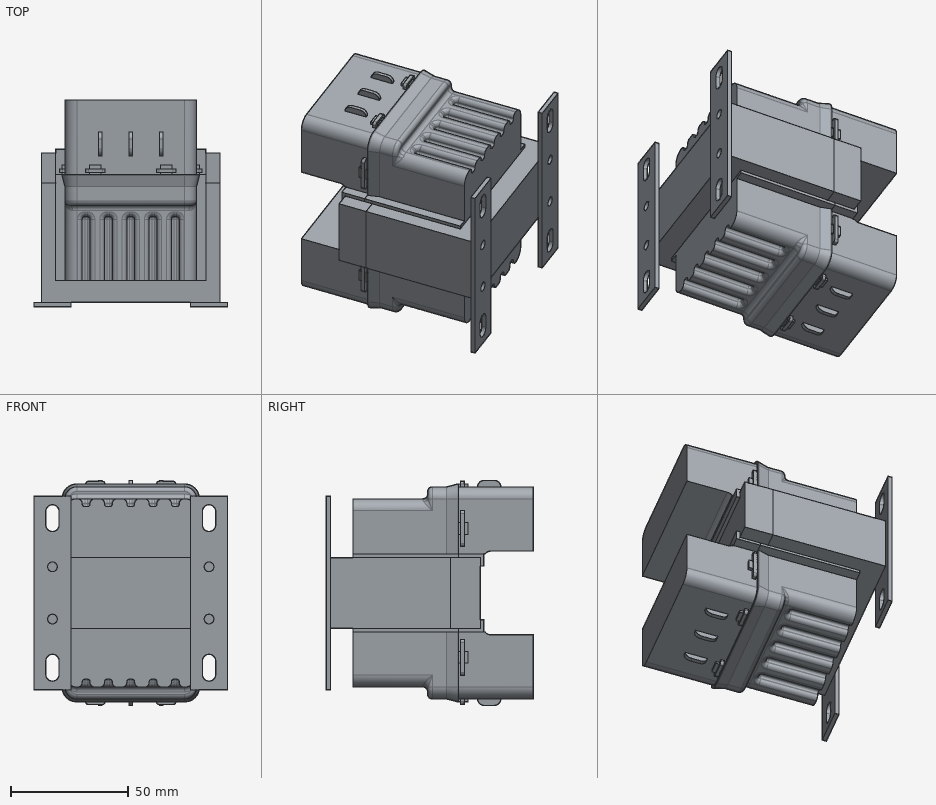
import cadquery as cq
import math


CORE_WIDTH = 76.2
CORE_STACK = 30.1
CORE_DEPTH = 63.7
YOKE_DEPTH = 12.8

BAR_SPAN = 82.6
BAR_WIDTH = 15.8
BAR_LENGTH = 82.6
BAR_THICKNESS = 1.9
SLOT_LENGTH = 11.3
SLOT_WIDTH = 5.6
SLOT_SPACING = 63.7
HOLE_DIAMETER = 4.1
HOLE_SPACING = 22.3

FLANGE_WIDTH = 64.1
FLANGE_THICKNESS = 1.5
HOOK_REACH = 5.2

SHELL_WIDTH = 56.1
SHELL_HEIGHT = 45.2
CORNER_RADIUS = 5.1

COVER_FRONT = 9.4
COVER_BACK = 54.5
COVER_HEIGHT = 40.1
SHOULDER_FRONT = 41.3
SHOULDER_ROUND = 2.0
LIP_LAND = 0.4
LIP_TAPER_LENGTH = 4.8
LIP_OVERHANG = 1.2

GROOVE_COUNT = 5
GROOVE_PITCH = 9.5
GROOVE_WIDTH = 3.4
GROOVE_DEPTH = 3.4
GROOVE_END = 36.6
GROOVE_INNER_ROUND = 1.2
GROOVE_EDGE_ROUND = 2.0

BLOCK_BACK = 86.3
BLOCK_UNDERSIDE = 17.8
UNDERSIDE_ROUND = 2.8

FIN_PITCH = 13.1
FIN_COUNT = 3
FIN_WIDTH = 1.5
FIN_FRONT = 62.5
FIN_LENGTH = 10.1
FIN_TIP = 48.0
FIN_ROUND = 3.0

TOP_LATCH_OFFSET = 15.1
SIDE_LATCH_HEIGHT = 27.5
TOP_LATCH_LENGTH = 8.4
SIDE_LATCH_LENGTH = 15.4
LATCH_FRONT = 55.3
LATCH_THICKNESS = 1.6
LATCH_RISE = 2.4
LATCH_ROUND = 1.2
TONGUE_WIDTH = 5.0
TONGUE_BACK = 58.6

CORE_TOP = CORE_STACK / 2
FLANGE_TOP = CORE_TOP + FLANGE_THICKNESS
HOOK_BACK = CORE_DEPTH + FLANGE_THICKNESS
YOKE_FRONT = CORE_DEPTH - YOKE_DEPTH


def block(width, y_front, y_back, z_bottom, z_top, x_centre=0.0):
    """Box centred on x_centre, between the given Y and Z limits."""
    return (
        cq.Workplane("XY")
        .box(width, y_back - y_front, z_top - z_bottom, centered=(True, False, False))
        .translate((x_centre, y_front, z_bottom))
    )


def shell(width, height, radius, y_front, y_back, taper=0.0):
    """Prism with rounded top corners, standing on the flange; it tapers towards the front."""
    full = (
        cq.Workplane("XZ", origin=(0, y_back, 0))
        .sketch()
        .rect(width, 2 * height)
        .vertices()
        .fillet(radius)
        .finalize()
        .extrude(y_back - y_front, taper=taper)
    )
    return full.intersect(block(2 * width, y_front, y_back, FLANGE_TOP, 2 * height))


def row_positions(count, pitch):
    """X positions of a row of features centred on X = 0."""
    return [(index - (count - 1) / 2) * pitch for index in range(count)]


def edges_near(x_min, x_max, y_min, y_max, z):
    """Selector for the edges whose middle lies in the given range at height z."""
    margin = 0.1
    return cq.selectors.BoxSelector(
        (x_min - margin, y_min - margin, z - margin),
        (x_max + margin, y_max + margin, z + margin),
    )



def core_body():
    return block(CORE_WIDTH, 0, YOKE_FRONT, -CORE_TOP, CORE_TOP)


def core_yoke():
    return block(CORE_WIDTH, YOKE_FRONT, CORE_DEPTH, -CORE_TOP, CORE_TOP)


def mounting_bar(x_centre):
    return (
        cq.Workplane("XZ", origin=(x_centre, 0, 0))
        .rect(BAR_WIDTH, BAR_LENGTH)
        .extrude(BAR_THICKNESS)
        .faces("<Y")
        .workplane(centerOption="CenterOfBoundBox")
        .pushPoints([(0, -SLOT_SPACING / 2), (0, SLOT_SPACING / 2)])
        .slot2D(SLOT_LENGTH, SLOT_WIDTH, 90)
        .cutThruAll()
        .pushPoints([(0, -HOLE_SPACING / 2), (0, HOLE_SPACING / 2)])
        .circle(HOLE_DIAMETER / 2)
        .cutThruAll()
    )



def groove_cutter(x_centre):
    cutter = block(
        GROOVE_WIDTH, COVER_FRONT - GROOVE_WIDTH, GROOVE_END,
        COVER_HEIGHT - GROOVE_DEPTH, COVER_HEIGHT + GROOVE_DEPTH, x_centre,
    )
    rounded_end = cutter.edges("|Z and >Y").fillet(GROOVE_INNER_ROUND)
    return rounded_end.faces("<Z").edges().fillet(GROOVE_INNER_ROUND)


def grooved_front():
    """Low front part of the cover, with its cooling grooves and their rounded rims."""
    front = shell(SHELL_WIDTH, COVER_HEIGHT, CORNER_RADIUS, COVER_FRONT, COVER_BACK)
    for x_centre in row_positions(GROOVE_COUNT, GROOVE_PITCH):
        front = front.cut(groove_cutter(x_centre))
        rim = edges_near(
            x_centre - GROOVE_WIDTH / 2, x_centre + GROOVE_WIDTH / 2,
            COVER_FRONT, GROOVE_END, COVER_HEIGHT,
        )
        front = front.edges(rim).fillet(GROOVE_EDGE_ROUND)
    return front


def cover_shoulder():
    """Full-height part of the cover, with its front edge rounded."""
    shoulder = shell(SHELL_WIDTH, SHELL_HEIGHT, CORNER_RADIUS, SHOULDER_FRONT, COVER_BACK)
    return shoulder.faces("<Y").edges("not <Z").fillet(SHOULDER_ROUND)


def cover_lip():
    """Flared rim at the joint: a straight land, then a taper down to the outline of the shell."""
    lip_outline = (SHELL_WIDTH + 2 * LIP_OVERHANG, SHELL_HEIGHT + LIP_OVERHANG, CORNER_RADIUS + LIP_OVERHANG)
    land_front = COVER_BACK - LIP_LAND
    taper_angle = math.degrees(math.atan2(LIP_OVERHANG, LIP_TAPER_LENGTH))
    land = shell(*lip_outline, land_front, COVER_BACK)
    return land.union(shell(*lip_outline, land_front - LIP_TAPER_LENGTH, land_front, taper_angle))


def coil_cover():
    flange = block(FLANGE_WIDTH, COVER_FRONT, COVER_BACK, CORE_TOP, FLANGE_TOP)
    cover = grooved_front().union(cover_shoulder())
    half_width = SHELL_WIDTH / 2
    step = edges_near(-half_width, half_width, SHOULDER_FRONT, SHOULDER_FRONT, COVER_HEIGHT)
    cover = cover.edges(step).fillet(SHOULDER_ROUND)
    return cover.union(cover_lip()).union(flange)



def fin(x_centre):
    plate = block(FIN_WIDTH, FIN_FRONT, FIN_FRONT + FIN_LENGTH, BLOCK_UNDERSIDE, FIN_TIP, x_centre)
    return plate.faces(">Z").edges("|X").fillet(FIN_ROUND)


def latch(length):
    """Cross plate on a tongue, rising in +Z from Z = 0 and centred on X = 0."""
    root = -LIP_OVERHANG
    plate = block(length, LATCH_FRONT, LATCH_FRONT + LATCH_THICKNESS, root, LATCH_RISE)
    plate = plate.faces(">Z").edges("|Y").fillet(LATCH_ROUND)
    return plate.union(block(TONGUE_WIDTH, COVER_BACK, TONGUE_BACK, root, LIP_OVERHANG))


def terminal_block():
    body = shell(SHELL_WIDTH, SHELL_HEIGHT, CORNER_RADIUS, COVER_BACK, BLOCK_BACK)

    clearance = block(2 * SHELL_WIDTH, HOOK_BACK, 2 * BLOCK_BACK, 0, BLOCK_UNDERSIDE)
    body = body.cut(clearance.edges("|X and <Y and >Z").fillet(UNDERSIDE_ROUND))

    flange = block(FLANGE_WIDTH, COVER_BACK, HOOK_BACK, CORE_TOP, FLANGE_TOP)
    hook = block(FLANGE_WIDTH, CORE_DEPTH, HOOK_BACK, FLANGE_TOP - HOOK_REACH, FLANGE_TOP)
    body = body.union(flange).union(hook)

    for x_centre in row_positions(FIN_COUNT, FIN_PITCH):
        body = body.union(fin(x_centre))
    for side in (-1, 1):
        top_latch = latch(TOP_LATCH_LENGTH).translate((side * TOP_LATCH_OFFSET, 0, SHELL_HEIGHT))
        side_latch = latch(SIDE_LATCH_LENGTH).rotate((0, 0, 0), (0, 1, 0), side * 90)
        side_latch = side_latch.translate((side * SHELL_WIDTH / 2, 0, SIDE_LATCH_HEIGHT))
        body = body.union(top_latch).union(side_latch)
    return body



bars = [mounting_bar(x_centre) for x_centre in row_positions(2, BAR_SPAN - BAR_WIDTH)]
upper_halves = [coil_cover(), terminal_block()]
lower_halves = [half.mirror("XY") for half in upper_halves]
bodies = [core_body(), core_yoke()] + bars + upper_halves + lower_halves

result = cq.Compound.makeCompound([body.solids().val() for body in bodies])